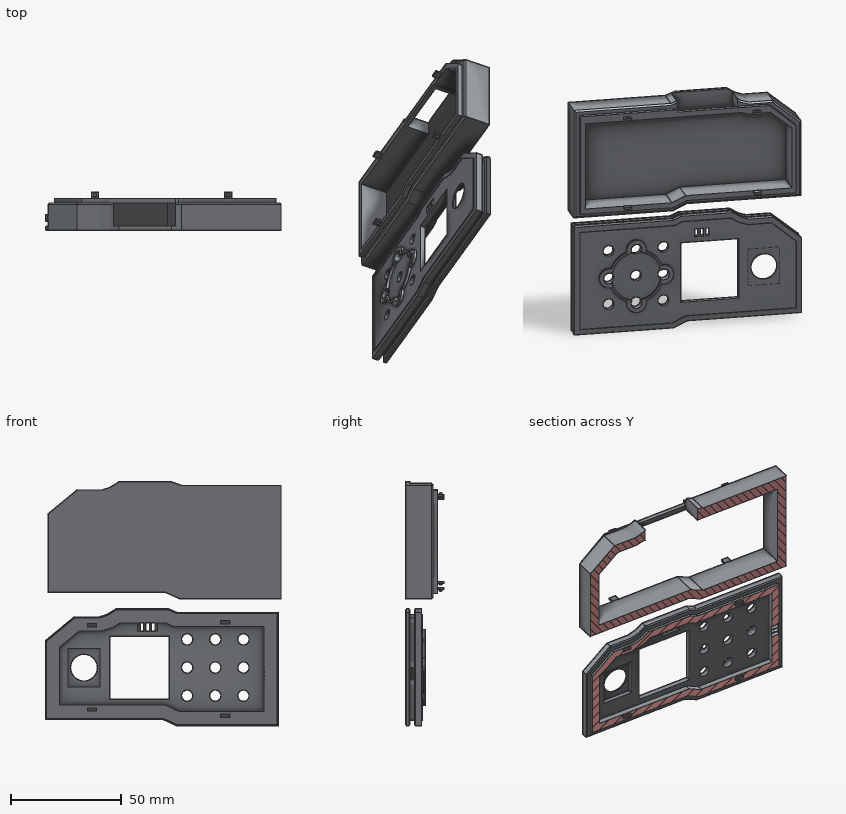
import cadquery as cq
length = 105.13
left_floor_z = 2.9
left_corner_z = 38.4
left_corner_x = 13.0
left_top_z = 49.15
rise_start_x = 24.3
rise_bend = (28.0, 50.35)
bump_start_x = 31.9
bump_end_x = 55.6
bump_z = 52.83
right_top_z = 51.2
right_start_x = 59.3
housing_right_start_x = 60.25
floor_step_x = 52.9


def outline(top_step_end_x):
    """Outline whose top edge reaches the right part's height at the given X."""
    return [
        (0, left_floor_z),
        (floor_step_x, left_floor_z),
        (right_start_x, 0),
        (length, 0),
        (length, right_top_z),
        (top_step_end_x, right_top_z),
        (bump_end_x, bump_z),
        (bump_start_x, bump_z),
        rise_bend,
        (rise_start_x, left_top_z),
        (left_corner_x, left_top_z),
        (0, left_corner_z),
    ]


panel_outline = outline(right_start_x)
housing_outline = outline(housing_right_start_x)


def plate(points, y_front, y_back, inset=0.0):
    """Extrude an X-Z outline, optionally shrunk by an inset, between two Y positions."""
    sketch = cq.Workplane("XZ", origin=(0, y_front, 0)).polyline(points).close()
    if inset:
        sketch = sketch.offset2D(-inset, "intersection")
    return sketch.extrude(y_front - y_back)


def block(x_range, y_range, z_range):
    """Box given by its start and end along each axis."""
    spans = (x_range, y_range, z_range)
    size = [end - start for start, end in spans]
    corner = tuple(start for start, end in spans)
    return cq.Workplane("XY").box(*size, centered=False).translate(corner)


def rod(x, z, diameter, y_front, y_back):
    """Cylinder along Y."""
    return cq.Workplane("XZ", origin=(x, y_front, z)).circle(diameter / 2).extrude(y_front - y_back)


left_clip_x = 21.1
right_clip_x = 81.2
clip_places = [
    (left_clip_x, 45.35, 1),
    (left_clip_x, 7.35, -1),
    (right_clip_x, 46.7, 1),
    (right_clip_x, 4.55, -1),
]
clip_width = 3.3
clip_thickness = 0.9
slot_width = 4.1
slot_height = 1.5
slot_depth = 3.0

flange_edge = 0.5
groove_front_y = 2.0
groove_back_y = 4.0
groove_depth = 2.5
flange_back_y = 7.25
panel_back_y = 7.65
recess_inset = 6.4
recess_floor_y = 5.3

screen_x = (29.1, 55.9)
screen_z = (12.05, 40.35)

dial_x = 17.45
dial_z = 26.25
dial_hole_diameter = 12.0
dial_pocket_width = 14.6
dial_pocket_height = 17.4
dial_pocket_floor_y = 7.1

steps = (-1, 0, 1)

key_hole_diameter = 5.0
key_boss_diameter = 9.0
key_boss_y = 8.9
key_ring_diameter = 25.0
key_ring_wall = 1.0
key_pitch = 12.7
key_centre = (76.7, 26.3)

sensor_centre_x = 46.15
sensor_pocket_width = 9.0
sensor_slot_width = 1.5
sensor_slot_pitch = 2.5
sensor_floor_z = 42.75
sensor_pocket_floor_y = 6.5

mic_hole_diameter = 1.5
mic_hole_pitch = 2.0
mic_y = 2.9
mic_z = 23.5


def grooved_rim():
    """Two chamfered flanges on a narrower core, which also stands proud at the back."""
    front_flange = plate(panel_outline, 0, groove_front_y).faces("<Y or >Y").edges().chamfer(flange_edge)
    core = plate(panel_outline, groove_front_y, panel_back_y, groove_depth)
    back_flange = plate(panel_outline, groove_back_y, flange_back_y).faces("<Y").edges().chamfer(flange_edge)
    return front_flange.union(core).union(back_flange)


def key_place(column, row):
    return key_centre[0] + column * key_pitch, key_centre[1] + row * key_pitch


def key_bosses():
    """Back bosses of the four keys beside the middle key, and the ring through them."""
    bosses = rod(*key_centre, key_ring_diameter, panel_back_y, key_boss_y)
    for column, row in ((-1, 0), (1, 0), (0, -1), (0, 1)):
        x, z = key_place(column, row)
        bosses = bosses.union(rod(x, z, key_boss_diameter, panel_back_y, key_boss_y))
    ring_bore = key_ring_diameter - 2 * key_ring_wall
    return bosses.cut(rod(*key_centre, ring_bore, panel_back_y, key_boss_y))


def make_panel():
    body = grooved_rim()
    recess = plate(panel_outline, 0, recess_floor_y, recess_inset)
    body = body.cut(recess)
    body = body.cut(block(screen_x, (0, panel_back_y), screen_z))

    dial_pocket = block(
        (dial_x - dial_pocket_width / 2, dial_x + dial_pocket_width / 2),
        (recess_floor_y, dial_pocket_floor_y),
        (dial_z - dial_pocket_height / 2, dial_z + dial_pocket_height / 2),
    )
    body = body.cut(dial_pocket)
    body = body.cut(rod(dial_x, dial_z, dial_hole_diameter, 0, panel_back_y))

    body = body.union(key_bosses())
    for column in steps:
        for row in steps:
            x, z = key_place(column, row)
            body = body.cut(rod(x, z, key_hole_diameter, recess_floor_y, key_boss_y))

    sensor_z = (sensor_floor_z, bump_z - recess_inset)
    half_pocket = sensor_pocket_width / 2
    body = body.cut(block(
        (sensor_centre_x - half_pocket, sensor_centre_x + half_pocket),
        (recess_floor_y, sensor_pocket_floor_y),
        sensor_z,
    ))
    for index in steps:
        slot_x = sensor_centre_x + index * sensor_slot_pitch - sensor_slot_width / 2
        slot = block((slot_x, slot_x + sensor_slot_width), (recess_floor_y, panel_back_y), sensor_z)
        body = body.cut(slot)

    for index in steps:
        hole = cq.Workplane("YZ", origin=(length - recess_inset, mic_y, mic_z + index * mic_hole_pitch))
        body = body.cut(hole.circle(mic_hole_diameter / 2).extrude(recess_inset))

    for x, z, _ in clip_places:
        body = body.cut(block(
            (x - slot_width / 2, x + slot_width / 2),
            (0, slot_depth),
            (z - slot_height / 2, z + slot_height / 2),
        ))
    return body


housing_offset = (1.3, 0, 57.3)
front_wall = 2.0
housing_back_y = 12.5
back_edge = 0.75
lip_back_y = 14.45
clip_back_y = 17.34
cavity_inset = 4.8
window_x = (29.55, 57.5)
lip_top_z = 47.7
lip_thickness = 2.4
lip_inset = 2.4
nub_diameter = 1.5
nub_y = 15.85

lip_left_x = 2.85
lip_corner_x = 15.0
lip_corner_z = 37.2
lip_step_z = 49.35
lip_step_end_x = 58.8
lip_floor_step_x = 53.4
lip_right_start_x = 59.8

lip_outline = [
    (lip_left_x, left_floor_z + lip_inset),
    (lip_floor_step_x, left_floor_z + lip_inset),
    (lip_right_start_x, lip_inset),
    (length - lip_inset, lip_inset),
    (length - lip_inset, right_top_z - lip_inset),
    (lip_step_end_x, right_top_z - lip_inset),
    (window_x[1], lip_step_z),
    (window_x[1], lip_top_z),
    (lip_corner_x, lip_top_z),
    (lip_left_x, lip_corner_z),
]


def make_clip(x, z, side):
    """Tongue behind the lip with a round nub on its outer side."""
    tongue = block(
        (x - clip_width / 2, x + clip_width / 2),
        (lip_back_y, clip_back_y),
        (z - clip_thickness / 2, z + clip_thickness / 2),
    )
    nub = cq.Workplane("XY").sphere(nub_diameter / 2)
    return tongue.union(nub.translate((x, nub_y, z + side * clip_thickness / 2)))


def make_housing():
    shell = plate(housing_outline, 0, housing_back_y).faces(">Y").edges().chamfer(back_edge)
    cavity_top_z = lip_top_z - lip_thickness
    window = block(window_x, (front_wall, housing_back_y), (cavity_top_z, bump_z))
    body = shell.cut(window).union(plate(lip_outline, housing_back_y, lip_back_y))

    cavity = plate(housing_outline, front_wall, lip_back_y, cavity_inset)
    above_cavity = block((0, length), (0, lip_back_y), (cavity_top_z, bump_z))
    body = body.cut(cavity.cut(above_cavity))
    for x, z, side in clip_places:
        body = body.union(make_clip(x, z, side))
    return body.translate(housing_offset)


panel = make_panel().solids()
housing = make_housing().solids()
result = cq.Compound.makeCompound([panel.val(), housing.val()])